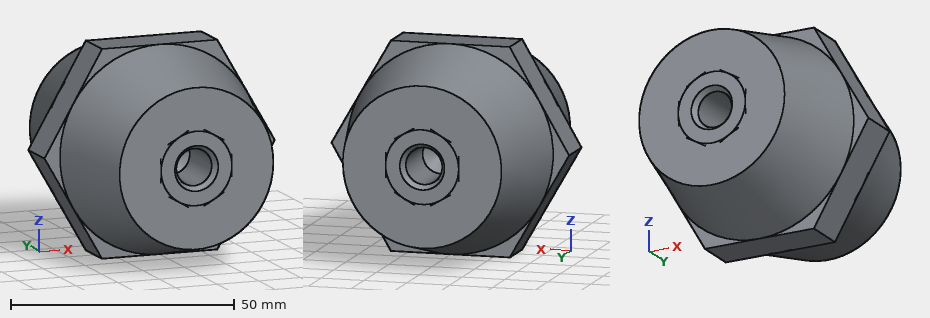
import cadquery as cq
import math

hex_across_corners = 55.45
body_length = 55.0
flange_thickness = 10.0
end_diameter = 37.0

insert_across_flats = 17.0
insert_length = 19.95
corner_chamfer_angle = 30.0
bore_diameter = 8.5
countersink_diameter = 10.4
countersink_depth = 1.5
bore_depth = 14.95
drill_point_angle = 118.0

hex_ratio = math.cos(math.radians(30))
hex_across_flats = hex_across_corners * hex_ratio
insert_across_corners = insert_across_flats / hex_ratio
half_length = body_length / 2
half_flange = flange_thickness / 2


def revolve_about_y(profile):
    """Revolve an XY profile fully about the Y axis."""
    return profile.revolve(360, (0, 0, 0), (0, 1, 0))


def hex_prism(across_corners, start_y, length, turn=0):
    """Hexagonal prism along +Y from start_y, with corners on +-X before turning."""
    prism = cq.Workplane("XZ", origin=(0, start_y, 0)).polygon(6, across_corners).extrude(-length)
    return prism.rotate((0, 0, 0), (0, 1, 0), turn)


def make_insert_blank():
    """Solid hex bar in the -Y end, its outer corners turned down to the inscribed circle."""
    bar = hex_prism(insert_across_corners, -half_length, insert_length, turn=30)
    flat_radius = insert_across_flats / 2
    corner_radius = insert_across_corners / 2
    chamfer_depth = (corner_radius - flat_radius) * math.tan(math.radians(corner_chamfer_angle))
    turned_envelope = revolve_about_y(
        cq.Workplane("XY")
        .moveTo(0, -half_length)
        .lineTo(flat_radius, -half_length)
        .lineTo(corner_radius, -half_length + chamfer_depth)
        .lineTo(corner_radius, -half_length + insert_length)
        .lineTo(0, -half_length + insert_length)
        .close()
    )
    return bar.intersect(turned_envelope)


def make_bore():
    """Blind drilled hole in the -Y end, with a conical countersink at its mouth."""
    bore_radius = bore_diameter / 2
    countersink_radius = countersink_diameter / 2
    point_length = bore_radius / math.tan(math.radians(drill_point_angle / 2))
    countersink_end_y = -half_length + countersink_depth
    bore_end_y = -half_length + bore_depth
    return revolve_about_y(
        cq.Workplane("XY")
        .moveTo(0, -half_length)
        .lineTo(0, bore_end_y + point_length)
        .lineTo(bore_radius, bore_end_y)
        .lineTo(bore_radius, countersink_end_y)
        .lineTo(countersink_radius, -half_length)
        .close()
    )


def make_housing(insert_blanks):
    """Hex flange with a cone tapering to each end, recessed to fit the inserts."""
    flange = hex_prism(hex_across_corners, -half_flange, flange_thickness)
    cone_root_radius = hex_across_flats / 2
    end_radius = end_diameter / 2
    cones = revolve_about_y(
        cq.Workplane("XY")
        .moveTo(0, -half_length)
        .lineTo(end_radius, -half_length)
        .lineTo(cone_root_radius, -half_flange)
        .lineTo(cone_root_radius, half_flange)
        .lineTo(end_radius, half_length)
        .lineTo(0, half_length)
        .close()
    )
    housing = flange.union(cones)
    for blank in insert_blanks:
        housing = housing.cut(blank)
    return housing


blank = make_insert_blank()
bore = make_bore()
insert_blanks = []
inserts = []
for turn in (0, 180):
    placed_blank = blank.rotate((0, 0, 0), (0, 0, 1), turn)
    placed_bore = bore.rotate((0, 0, 0), (0, 0, 1), turn)
    insert_blanks.append(placed_blank)
    inserts.append(placed_blank.cut(placed_bore))

housing = make_housing(insert_blanks)

result = cq.Compound.makeCompound([housing.val(), *[insert.val() for insert in inserts]])